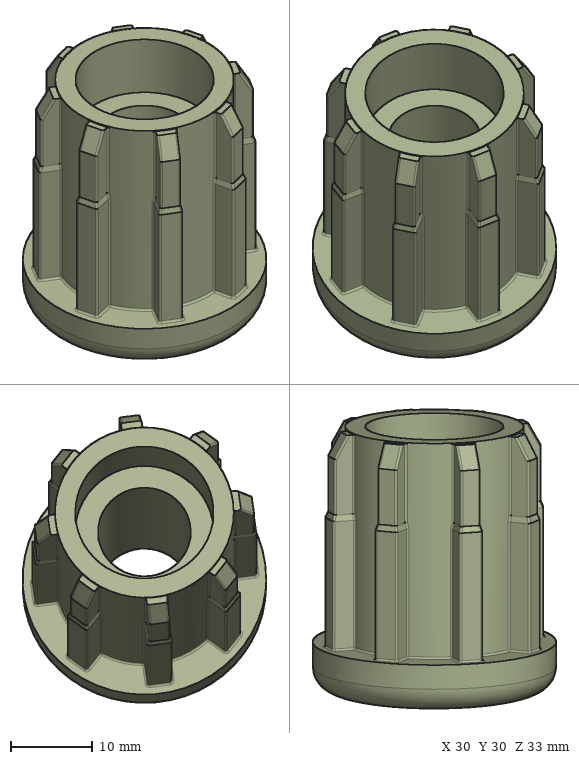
import cadquery as cq
import math

total_height = 33.0
flange_diameter = 30.0
flange_height = 6.0
flange_bottom_radius = flange_height / 2
barrel_diameter = 21.98
bore_diameter = 17.03
bore_depth = 8.0
through_hole_diameter = 11.42

rib_count = 8
lower_rib_reach = 13.75
lower_rib_width = 3.05
upper_rib_reach = 13.5
upper_rib_width = 2.57
step_start_height = 22.25
step_end_height = 23.0
rib_top_height = total_height - 0.13
lead_in_start_height = 30.0
lead_in_angle = 30.0
rib_inner_reach = (barrel_diameter + bore_diameter) / 4

rib_edge_radius = 0.25
root_radius = 0.25
tolerance = 0.003


def rib_section(height, reach, width):
    """Rectangle of one rib cross-section, pointing along +X."""
    length = reach - rib_inner_reach
    return (
        cq.Workplane("XY", origin=(rib_inner_reach + length / 2, 0, height))
        .rect(length, width)
    )


def make_core():
    """Flange with a rounded underside, carrying the plain barrel."""
    flange = (
        cq.Workplane("XY")
        .circle(flange_diameter / 2)
        .extrude(flange_height)
        .faces("<Z")
        .edges()
        .fillet(flange_bottom_radius)
    )
    barrel = cq.Workplane("XY").circle(barrel_diameter / 2).extrude(total_height)
    return flange.union(barrel)


def make_rib():
    """One stepped rib on the +X side with a sloped lead-in and rounded outer edges."""
    base_height = flange_height / 2
    lower = rib_section(base_height, lower_rib_reach, lower_rib_width).extrude(
        step_start_height - base_height
    )
    step_shift = (upper_rib_reach - lower_rib_reach) / 2
    step = (
        rib_section(step_start_height, lower_rib_reach, lower_rib_width)
        .workplane(offset=step_end_height - step_start_height)
        .center(step_shift, 0)
        .rect(upper_rib_reach - rib_inner_reach, upper_rib_width)
        .loft(ruled=True)
    )
    upper = rib_section(step_end_height, upper_rib_reach, upper_rib_width).extrude(
        rib_top_height - step_end_height
    )
    lead_in_height = total_height - lead_in_start_height
    lead_in_depth = lead_in_height * math.tan(math.radians(lead_in_angle))
    lead_in = (
        cq.Workplane("XZ")
        .moveTo(upper_rib_reach, lead_in_start_height)
        .lineTo(upper_rib_reach, total_height)
        .lineTo(upper_rib_reach - lead_in_depth, total_height)
        .close()
        .extrude(upper_rib_width, both=True)
    )
    rib = lower.union(step).union(upper).cut(lead_in)
    beyond_barrel = cq.selectors.BoxSelector(
        (barrel_diameter / 2, -lower_rib_width, 0),
        (flange_diameter / 2, lower_rib_width, total_height),
    )
    return rib.edges("not(|X or |Y)").edges(beyond_barrel).fillet(rib_edge_radius)


def add_ribs(core):
    """Join a ring of equally spaced ribs to the core and blend their roots."""
    rib = make_rib()
    for index in range(rib_count):
        core = core.union(rib.rotate((0, 0, 0), (0, 0, 1), index * 360 / rib_count))
    return core.edges().filter(is_root_edge).fillet(root_radius)


def is_root_edge(edge):
    """True where a rib side meets the barrel, or where rib or barrel meets the flange top."""
    start = edge.startPoint()
    end = edge.endPoint()
    start_reach = math.hypot(start.x, start.y)
    end_reach = math.hypot(end.x, end.y)
    on_flange_top = all(abs(point.z - flange_height) < tolerance for point in (start, end))
    if on_flange_top:
        return start_reach < flange_diameter / 2 - tolerance
    on_barrel = all(abs(reach - barrel_diameter / 2) < tolerance for reach in (start_reach, end_reach))
    below_rib_top = max(start.z, end.z) < rib_top_height + tolerance
    return on_barrel and below_rib_top and abs(start.z - end.z) > tolerance


body = add_ribs(make_core())

result = (
    body.faces(">Z")
    .workplane(origin=(0, 0, 0))
    .cboreHole(through_hole_diameter, bore_diameter, bore_depth)
)